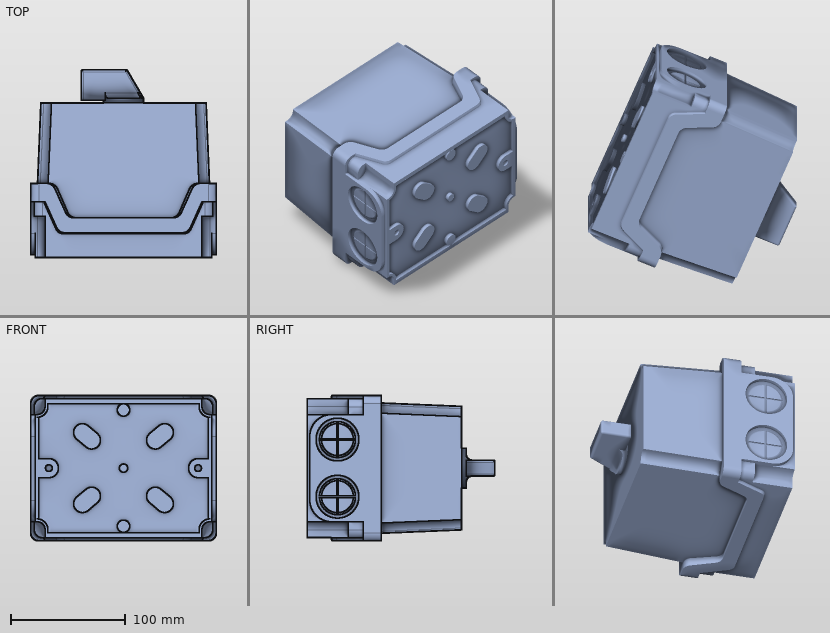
import cadquery as cq
import math


BOSS_START = 35.9
FLANGE_START = 48.9
FLANGE_END = 64.8
COVER_END = 135.0
OVERALL_DEPTH = 164.0

FLANGE_HALF_X = 81.0
FLANGE_HALF_Z = 63.5
CORNER_RADIUS = 7.0

BASE_HALF_X = 77.0
BASE_HALF_Z = 60.7
NOTCH_X = 68.4
NOTCH_Z = 46.7
BOSS_HALF_X = 77.9

PANEL_START = 2.5
PANEL_CORNER_RADIUS = 18.9
KNOCKOUT_Y = 26.5
KNOCKOUT_Z = 25.0
KNOCKOUT_RADIUS = 18.7
KNOCKOUT_DEPTH = FLANGE_HALF_X - BASE_HALF_X
PAD_FOOT_RADIUS = 15.7
PAD_TOP_RADIUS = 14.0
PAD_HEIGHT = 1.1
PAD_SLOT = 1.6

RECESS_DEPTH = 3.5
RECESS_HALF_X = 74.0
RECESS_HALF_Z = 56.3
NOTCH_WALL = 2.5
EAR_X = 65.1
EAR_RADIUS = 8.4
EAR_HOLE_RADIUS = 3.0
CENTER_PIN_RADIUS = 3.6
EDGE_PIN_RADIUS = 5.4
EDGE_PIN_Z = 50.7
OVAL_X = 31.8
OVAL_Z = 27.7
OVAL_WIDTH = 15.4
OVAL_LENGTH = 25.9
OVAL_ANGLE = 40.0

BAND_SLOPE = 0.45
TONGUE_START = 21.8
TONGUE_HALF_X = 68.5
TONGUE_FLARE = 1.0
POCKET_START = 34.6
POCKET_HALF_X = 48.4
POCKET_WALL_RUN = 0.35
BAND_RADIUS = 7.9

COVER_END_HALF_X = 72.2
COVER_END_HALF_Z = 54.0
COVER_END_NOTCH_X = 62.8
COVER_END_NOTCH_Z = 45.0
COVER_DRAFT = 0.042

DISK_RADIUS = 17.5
DISK_END = 139.0
BLADE_START = 137.1
BLADE_HALF_Z = 7.0
BLADE_MIN_X = -36.9
BLADE_TOP_MAX_X = 3.0
BLADE_EDGE_RADIUS = 2.0
FOOT_FILLET = 4.8


def block(half_x, half_z, start, end):
    """Box centred on the Y axis between two Y levels."""
    return cq.Workplane("XY").box(2 * half_x, end - start, 2 * half_z).translate((0, (start + end) / 2, 0))


def rod(x, z, radius, start, end):
    """Cylinder parallel to Y between two Y levels."""
    return cq.Workplane("XZ", origin=(x, start, z)).circle(radius).extrude(start - end)


def notched_section(half_x, half_z, notch_x, notch_z, radius, y):
    """Closed wire at level y: a rectangle with a round-cornered notch cut out of each corner."""
    arc_x = notch_x + radius
    arc_z = notch_z + radius
    reach = radius * math.sqrt(0.5)
    wire = cq.Workplane("XZ", origin=(0, y, 0)).moveTo(half_x, -notch_z)
    for side_x, side_z in ((1, 1), (-1, 1), (-1, -1), (1, -1)):
        side_entry = (side_x * arc_x, side_z * notch_z)
        top_entry = (side_x * notch_x, side_z * arc_z)
        middle = (side_x * (arc_x - reach), side_z * (arc_z - reach))
        if side_x == side_z:
            wire = wire.lineTo(side_x * half_x, side_z * notch_z).lineTo(*side_entry)
            wire = wire.threePointArc(middle, top_entry).lineTo(side_x * notch_x, side_z * half_z)
        else:
            wire = wire.lineTo(side_x * notch_x, side_z * half_z).lineTo(*top_entry)
            wire = wire.threePointArc(middle, side_entry).lineTo(side_x * half_x, side_z * notch_z)
    return wire.close().val()


def notched_prism(first, last):
    """Solid ruled between two notched sections."""
    return cq.Workplane("XY").add(cq.Solid.makeLoft([first, last], True))


def trapezoid(z, start, end, start_half_x):
    """Closed wire at height z: symmetric in X, widening along Y with the slope of the band."""
    end_half_x = start_half_x + BAND_SLOPE * (end - start)
    corners = [(-start_half_x, start), (start_half_x, start), (end_half_x, end), (-end_half_x, end)]
    return cq.Workplane("XY", origin=(0, 0, z)).polyline(corners).close().val()


def band_solid(lower, upper):
    """Solid between two trapezoids, with the two corners of its short side rounded."""
    solid = cq.Workplane("XY").add(cq.Solid.makeLoft([lower, upper], True))
    return solid.faces("<Y").edges("not |X").fillet(BAND_RADIUS)


def both_faces(solid):
    """The solid on the top face together with its mirror image on the bottom face."""
    return solid.union(solid.mirror("XY"))


def make_base():
    first = notched_section(BASE_HALF_X, BASE_HALF_Z, NOTCH_X, NOTCH_Z, CORNER_RADIUS, 0)
    last = notched_section(BASE_HALF_X, BASE_HALF_Z, NOTCH_X, NOTCH_Z, CORNER_RADIUS, FLANGE_START)
    bosses = block(BOSS_HALF_X, BASE_HALF_Z, BOSS_START, FLANGE_START).edges("|Y").fillet(CORNER_RADIUS)
    panels = block(FLANGE_HALF_X, NOTCH_Z, PANEL_START, FLANGE_START)
    panels = panels.faces("<Y").edges("|X").fillet(PANEL_CORNER_RADIUS)
    return notched_prism(first, last).union(bosses).union(panels)


def make_band():
    """Flange and tongues, both reaching through the inside of the housing."""
    flange = block(FLANGE_HALF_X, FLANGE_HALF_Z, FLANGE_START, FLANGE_END)
    flange = flange.edges("|Y").fillet(CORNER_RADIUS)
    lean = math.hypot(1, BAND_SLOPE)
    outer_half_x = TONGUE_HALF_X - BAND_SLOPE * (FLANGE_START - TONGUE_START)
    inner_half_x = outer_half_x + TONGUE_FLARE * (lean - BAND_SLOPE)
    tongue = band_solid(
        trapezoid(BASE_HALF_Z, TONGUE_START - TONGUE_FLARE, FLANGE_START, inner_half_x),
        trapezoid(FLANGE_HALF_Z, TONGUE_START, FLANGE_START, outer_half_x),
    )
    return flange.union(both_faces(tongue))


def cover_section(y):
    growth = COVER_DRAFT * (COVER_END - y)
    return notched_section(
        COVER_END_HALF_X + growth,
        COVER_END_HALF_Z + growth,
        COVER_END_NOTCH_X + growth,
        COVER_END_NOTCH_Z + growth,
        CORNER_RADIUS,
        y,
    )


def make_cover():
    """Tapered cover, whose top and bottom faces carry on inside the housing as the pocket floors."""
    tapered = notched_prism(cover_section(TONGUE_START), cover_section(COVER_END))
    pocket_core = block(POCKET_HALF_X, FLANGE_HALF_Z, TONGUE_START, FLANGE_END)
    full_width = block(FLANGE_HALF_X, FLANGE_HALF_Z, BOSS_START, COVER_END)
    return tapered.intersect(pocket_core.union(full_width))


def make_pockets():
    """Cutters for the top and bottom pockets, deep enough to pass below the faces of the cover."""
    floor_z = COVER_END_HALF_Z
    lean_in = POCKET_WALL_RUN * (FLANGE_HALF_Z - floor_z)
    pocket = band_solid(
        trapezoid(floor_z, POCKET_START, FLANGE_END, POCKET_HALF_X - lean_in),
        trapezoid(FLANGE_HALF_Z, POCKET_START, FLANGE_END, POCKET_HALF_X),
    )
    return both_faces(pocket)


def make_recess():
    """Cutter for the mounting face, leaving ears, pins and ovals flush with the rim."""
    notch_x = NOTCH_X - NOTCH_WALL
    notch_z = NOTCH_Z - NOTCH_WALL
    radius = CORNER_RADIUS + NOTCH_WALL
    recess = notched_prism(
        notched_section(RECESS_HALF_X, RECESS_HALF_Z, notch_x, notch_z, radius, 0),
        notched_section(RECESS_HALF_X, RECESS_HALF_Z, notch_x, notch_z, radius, RECESS_DEPTH),
    )
    recess = recess.cut(rod(0, 0, CENTER_PIN_RADIUS, 0, RECESS_DEPTH))
    for side in (-1, 1):
        recess = recess.cut(rod(0, side * EDGE_PIN_Z, EDGE_PIN_RADIUS, 0, RECESS_DEPTH))
        ear_bar = block((RECESS_HALF_X - EAR_X) / 2, EAR_RADIUS, 0, RECESS_DEPTH)
        recess = recess.cut(ear_bar.translate((side * (RECESS_HALF_X + EAR_X) / 2, 0, 0)))
        recess = recess.cut(rod(side * EAR_X, 0, EAR_RADIUS, 0, RECESS_DEPTH))
        recess = recess.union(rod(side * EAR_X, 0, EAR_HOLE_RADIUS, 0, RECESS_DEPTH))
        for level in (-1, 1):
            oval = cq.Workplane("XZ", origin=(side * OVAL_X, 0, level * OVAL_Z))
            oval = oval.slot2D(OVAL_LENGTH, OVAL_WIDTH, side * level * OVAL_ANGLE).extrude(-RECESS_DEPTH)
            recess = recess.cut(oval)
    return recess


def make_knockout():
    """Cutter for one knockout on the +X side: a round recess around four tapered pads."""
    floor_x = FLANGE_HALF_X - KNOCKOUT_DEPTH
    recess = cq.Workplane("YZ", origin=(floor_x, 0, 0)).circle(KNOCKOUT_RADIUS).extrude(KNOCKOUT_DEPTH)
    pad = cq.Solid.makeCone(
        PAD_FOOT_RADIUS, PAD_TOP_RADIUS, PAD_HEIGHT, cq.Vector(floor_x, 0, 0), cq.Vector(1, 0, 0)
    )
    pads = cq.Workplane("XY").add(pad)
    slot = cq.Workplane("YZ", origin=(floor_x, 0, 0)).rect(2 * PAD_FOOT_RADIUS, PAD_SLOT).extrude(PAD_HEIGHT)
    pads = pads.cut(slot).cut(slot.rotate((0, 0, 0), (1, 0, 0), 90))
    return recess.cut(pads)


def make_housing():
    housing = make_base().union(make_band()).cut(make_pockets())
    pocket_ends = housing.faces(">Y").edges("not (%CIRCLE or |X or |Z)")
    housing = pocket_ends.fillet(BAND_RADIUS)
    housing = housing.union(make_cover()).cut(make_recess())
    for level in (-1, 1):
        knockout = make_knockout().translate((0, KNOCKOUT_Y, level * KNOCKOUT_Z))
        housing = housing.cut(knockout).cut(knockout.mirror("YZ"))
    return housing


def blade_prism(half_z):
    """Side profile of the grip blade, extruded evenly to both sides."""
    outline = [
        (BLADE_MIN_X, BLADE_START),
        (BLADE_MIN_X, OVERALL_DEPTH),
        (BLADE_TOP_MAX_X, OVERALL_DEPTH),
        (DISK_RADIUS, DISK_END),
        (0, DISK_END),
        (0, BLADE_START),
    ]
    return cq.Workplane("XY").polyline(outline).close().extrude(half_z, both=True)


def make_blade():
    """Grip blade with its back, top and sloping edges rounded."""
    blade = blade_prism(BLADE_HALF_Z)
    side_edges = blade.faces("<X").edges("|Y").add(blade.faces(">Y").edges("|X"))
    slope_edges = blade.edges("not (|X or |Y or |Z)")
    top_back_edge = blade.faces("<X").edges(">Y")
    rounded_edges = [*side_edges.vals(), *slope_edges.vals(), *top_back_edge.vals()]
    return blade.newObject(rounded_edges).fillet(BLADE_EDGE_RADIUS)


def make_foot():
    """Concave strips between disk and blade, kept inside the disk's outline and the blade's slope."""
    foot_end = DISK_END + FOOT_FILLET
    half_z = BLADE_HALF_Z + FOOT_FILLET
    foot = block(DISK_RADIUS, half_z, DISK_END, foot_end)
    for side in (-1, 1):
        groove = cq.Workplane("YZ", origin=(-DISK_RADIUS, foot_end, side * half_z))
        foot = foot.cut(groove.circle(FOOT_FILLET).extrude(2 * DISK_RADIUS))
    foot = foot.cut(block(DISK_RADIUS, BLADE_HALF_Z, DISK_END, foot_end))
    return foot.intersect(rod(0, 0, DISK_RADIUS, DISK_END, foot_end)).intersect(blade_prism(half_z))


def make_handle():
    """Blade standing on a round disk that rests on the end of the cover."""
    disk = rod(0, 0, DISK_RADIUS, COVER_END, DISK_END)
    return disk.union(make_blade()).union(make_foot())


housing = make_housing()
handle = make_handle()
result = cq.Compound.makeCompound([housing.val(), handle.val()])